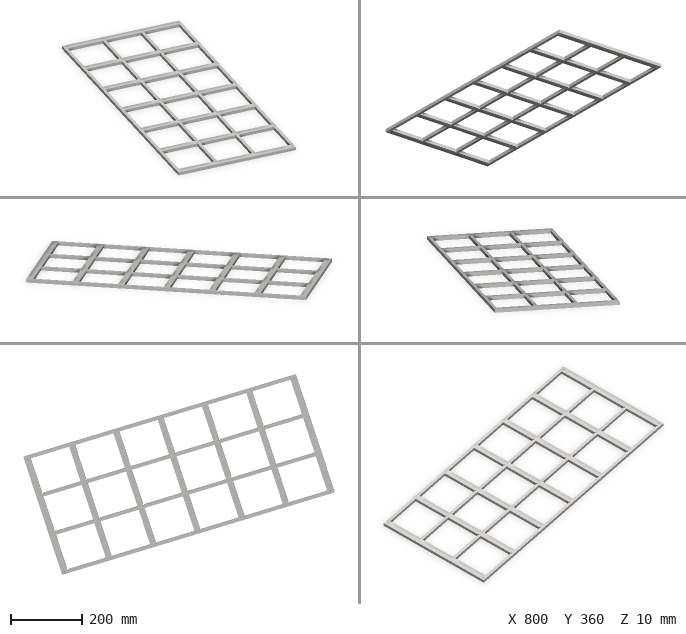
import cadquery as cq

length = 800.0
width = 360.0
thickness = 10.0

columns = 6
rows = 3
end_bar = 18.0
upright_bar = 17.0
cross_bar = 9.0
window_length = (length - 2 * end_bar - (columns - 1) * upright_bar) / columns
window_width = (width - (rows + 1) * cross_bar) / rows
pitch_x = window_length + upright_bar
pitch_y = window_width + cross_bar

hole_diameter = 3.0
hole_inset = 9.0
relief_diameter = 3.9


def through_cutter(sketch):
    """Turn closed outlines on the bottom plane into a cutter through the plate."""
    return sketch.extrude(thickness)


def windows():
    """Rectangular openings, centred on the plate."""
    centres = cq.Workplane("XY").rarray(pitch_x, pitch_y, columns, rows)
    return through_cutter(centres.rect(window_length, window_width))


def corner_reliefs():
    """Round relief on the +X, -Y corner of each window."""
    corners = (
        cq.Workplane("XY")
        .center(window_length / 2, -window_width / 2)
        .rarray(pitch_x, pitch_y, columns, rows)
    )
    return through_cutter(corners.circle(relief_diameter / 2))


def mounting_holes():
    """One through hole near each corner of the plate."""
    spacing_x = length - 2 * hole_inset
    spacing_y = width - 2 * hole_inset
    centres = cq.Workplane("XY").rarray(spacing_x, spacing_y, 2, 2)
    return through_cutter(centres.circle(hole_diameter / 2))


plate = cq.Workplane("XY").box(length, width, thickness, centered=(True, True, False))
result = plate.cut(windows()).cut(corner_reliefs()).cut(mounting_holes())